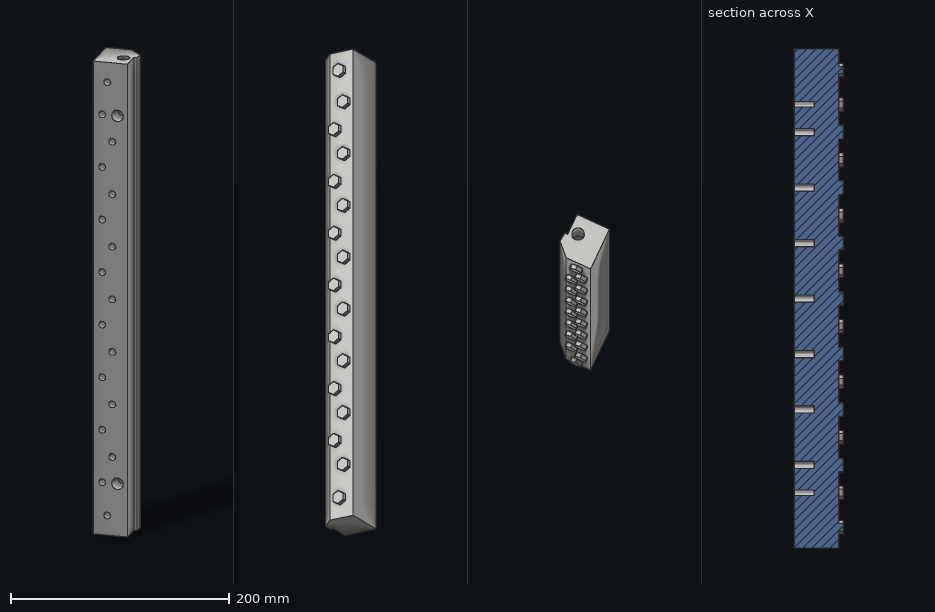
import cadquery as cq
import math

length = 457.0
body_width = 33.0
body_depth = 41.0
lip_reach = 36.5
lip_bottom = 20.5
lip_bottom_reach = 35.5
bevel_start = 24.5
lip_top = body_depth - (lip_reach - bevel_start)

pitch = length / 18
pitch_count = 14
row_length = pitch_count * pitch
end_height = 209.5
left_column = 8.5
right_column = 18.5
end_column = (left_column + right_column) / 2
bore_diameter = 6.5
bore_depth = 18.5
head_flats = 11.0
head_height = 4.0

side_port_diameter = 11.0
side_port_x = 23.5
side_port_depth = 18.5
end_port_diameter = 11.5
end_port_x = 24.2
end_port_y = 16.5
end_port_depth = 36.5
drill_angle = 118.0


def drilled_hole(diameter, depth):
    """Blind hole along +Z from the origin with a drill-point bottom."""
    radius = diameter / 2
    tip = radius / math.tan(math.radians(drill_angle / 2))
    outline = [(0, 0), (radius, 0), (radius, depth), (0, depth + tip)]
    return cq.Workplane("XZ").polyline(outline).close().revolve(360, (0, 0), (0, 1))


def bar():
    outline = [
        (0, 0),
        (body_width, 0),
        (body_width, lip_bottom),
        (lip_bottom_reach, lip_bottom),
        (lip_reach, lip_top),
        (bevel_start, body_depth),
        (0, body_depth),
    ]
    return cq.Workplane("XY").polyline(outline).close().extrude(length / 2, both=True)


def screw_positions():
    """(X, Z) of every screw: a staggered row plus one at each end."""
    positions = [(end_column, -end_height), (end_column, end_height)]
    for step in range(pitch_count + 1):
        column = left_column if step % 2 == 0 else right_column
        positions.append((column, step * pitch - row_length / 2))
    return positions


def hex_head(x, z):
    """Screw head standing on the back face."""
    plane = cq.Workplane("XZ", origin=(x, body_depth, z))
    return plane.polygon(6, head_flats, circumscribed=True).extrude(-head_height)


def screw_bore(x, z):
    """Flat-bottomed hole in the front face, in line with a screw head."""
    return cq.Workplane("XZ", origin=(x, 0, z)).circle(bore_diameter / 2).extrude(-bore_depth)


def side_port(z):
    """Drilled hole entering through the front face."""
    drill = drilled_hole(side_port_diameter, side_port_depth)
    return drill.rotate((0, 0, 0), (1, 0, 0), -90).translate((side_port_x, 0, z))


def end_port():
    """Drilled hole entering through the top end."""
    drill = drilled_hole(end_port_diameter, end_port_depth)
    return drill.rotate((0, 0, 0), (1, 0, 0), 180).translate((end_port_x, end_port_y, length / 2))


result = bar()

for x, z in screw_positions():
    result = result.union(hex_head(x, z)).cut(screw_bore(x, z))

for z in (-row_length / 2, row_length / 2):
    result = result.cut(side_port(z))

result = result.cut(end_port())